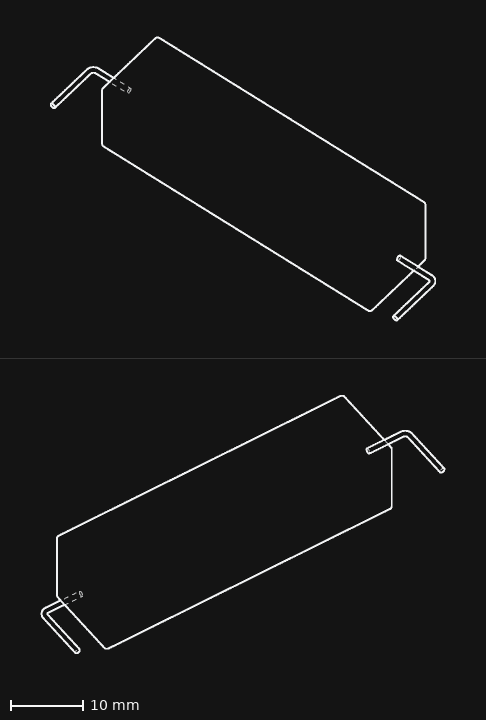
import cadquery as cq

span = 61.75
overall_depth = 15.0

body_length = 48.05
body_side = 12.5
edge_radius = 0.5

wire_diameter = 0.8
bend_radius = 0.8
embed_depth = 0.6

lead_x = (span - wire_diameter) / 2
tip_y = body_side / 2 - overall_depth
root_x = body_length / 2 - embed_depth


def make_body():
    """Square bar with every edge rounded."""
    return cq.Workplane("XY").box(body_length, body_side, body_side).edges().fillet(edge_radius)


def make_lead():
    """Wire that leaves the +X end of the body and bends toward -Y."""
    bend_start = (lead_x - bend_radius, 0)
    bend_end = (lead_x, -bend_radius)
    path = (
        cq.Workplane("XY")
        .moveTo(root_x, 0)
        .lineTo(*bend_start)
        .tangentArcPoint(bend_end, relative=False)
        .lineTo(lead_x, tip_y)
    )
    return cq.Workplane("YZ", origin=(root_x, 0, 0)).circle(wire_diameter / 2).sweep(path)


lead = make_lead()
result = make_body().union(lead).union(lead.mirror("YZ"))